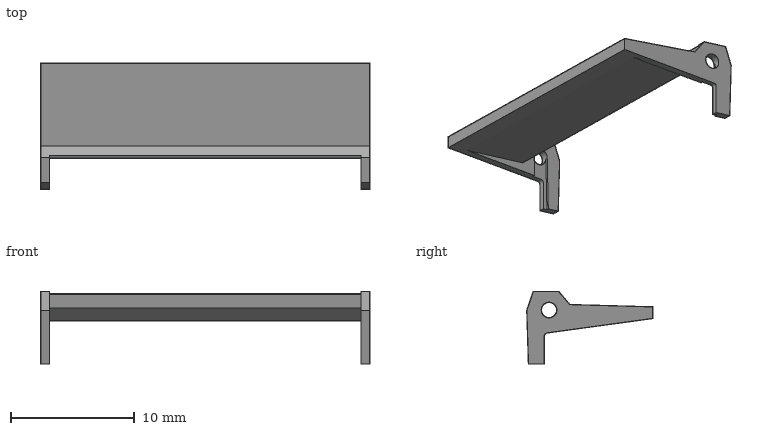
import cadquery as cq

LENGTH = 26.6
DEPTH = 10.2
HEIGHT = 5.88

ARM_THICKNESS = 0.75
LEG_FRONT_Y = 0.13
LEG_BACK_Y = 1.44
SHOULDER_Z = 4.34
CROWN_FRONT_Y = 0.53
CROWN_BACK_Y = 2.58
KNEE_Y = 3.48
KNEE_Z = 4.81
TAIL_TOP_Z = 4.63
TAIL_BOTTOM_Z = 3.67
LEG_ROOT_Z = 2.47
LEG_ROOT_RADIUS = 0.27

PLATE_FRONT_Y = 2.5
PLATE_FRONT_BOTTOM_Z = 4.52
PLATE_FRONT_TOP_Z = 5.6
PLATE_RIDGE_Y = 2.75
PLATE_BOTTOM_Y = 3.55
PLATE_BOTTOM_Z = 3.48

HOLE_Y = 1.8
HOLE_Z = 4.35
HOLE_DIAMETER = 1.22
RELIEF_DEPTH = 0.2
RELIEF_FOOT_Y = 1.1

INNER_LENGTH = LENGTH - 2 * ARM_THICKNESS


def extrude_centred(points, length):
    """Extrude a (Y, Z) outline along X, centred on X = 0."""
    return cq.Workplane("YZ").polyline(points).close().extrude(length / 2, both=True)


def full_body():
    outline = [
        (LEG_FRONT_Y, 0),
        (0, SHOULDER_Z),
        (CROWN_FRONT_Y, HEIGHT),
        (CROWN_BACK_Y, HEIGHT),
        (KNEE_Y, KNEE_Z),
        (DEPTH, TAIL_TOP_Z),
        (DEPTH, TAIL_BOTTOM_Z),
        (LEG_BACK_Y, LEG_ROOT_Z),
        (LEG_BACK_Y, 0),
    ]
    body = extrude_centred(outline, LENGTH)
    root_edge = cq.selectors.NearestToPointSelector((0, LEG_BACK_Y, LEG_ROOT_Z))
    return body.edges("|X").edges(root_edge).fillet(LEG_ROOT_RADIUS)


def space_between_arms():
    """Everything in front of and below the plate, from arm to arm."""
    crown_slope = (HEIGHT - KNEE_Z) / (KNEE_Y - CROWN_BACK_Y)
    ridge_z = HEIGHT - crown_slope * (PLATE_RIDGE_Y - CROWN_BACK_Y)
    underside_slope = (TAIL_BOTTOM_Z - LEG_ROOT_Z) / (DEPTH - LEG_BACK_Y)
    undercut_end_y = DEPTH - (TAIL_BOTTOM_Z - PLATE_BOTTOM_Z) / underside_slope
    outline = [
        (0, 0),
        (0, HEIGHT),
        (PLATE_RIDGE_Y, HEIGHT),
        (PLATE_RIDGE_Y, ridge_z),
        (PLATE_FRONT_Y, PLATE_FRONT_TOP_Z),
        (PLATE_FRONT_Y, PLATE_FRONT_BOTTOM_Z),
        (PLATE_BOTTOM_Y, PLATE_BOTTOM_Z),
        (undercut_end_y, PLATE_BOTTOM_Z),
        (undercut_end_y, 0),
    ]
    return extrude_centred(outline, INNER_LENGTH)


def pivot_hole():
    hole = cq.Workplane("YZ").center(HOLE_Y, HOLE_Z).circle(HOLE_DIAMETER / 2)
    return hole.extrude(LENGTH / 2, both=True)


def arm_reliefs():
    """Shallow relief in both inner arm faces, as wide as the hole at its top."""
    hole_radius = HOLE_DIAMETER / 2
    outline = [
        (HOLE_Y - hole_radius, HOLE_Z),
        (HOLE_Y + hole_radius, HOLE_Z),
        (HOLE_Y + hole_radius, 0),
        (RELIEF_FOOT_Y, 0),
    ]
    return extrude_centred(outline, INNER_LENGTH + 2 * RELIEF_DEPTH)


result = full_body().cut(space_between_arms()).cut(pivot_hole()).cut(arm_reliefs())